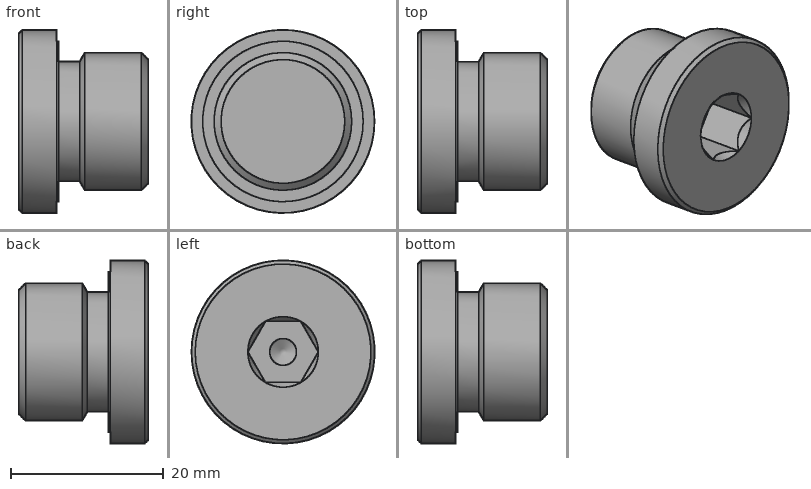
import cadquery as cq
import math

total_length = 17.0
flange_diameter = 24.0
flange_thickness = 5.0
flange_chamfer = 0.5
seat_diameter = 21.0
seat_height = 0.25
neck_diameter = 15.7
neck_end = 8.0
shank_diameter = 18.0
shank_lead_in_angle = 30.0
shank_chamfer = 0.9

socket_across_flats = 8.0
socket_depth = 7.5
socket_mouth_angle = 30.0
drill_point_diameter = 3.5
drill_point_half_angle = 59.0

socket_across_corners = socket_across_flats / math.cos(math.radians(30))


def cone_length(radial_drop, half_angle):
    return radial_drop / math.tan(math.radians(half_angle))


def make_body():
    """Flange, sealing seat, neck and chamfered shank as one revolved profile."""
    flange_radius = flange_diameter / 2
    seat_radius = seat_diameter / 2
    neck_radius = neck_diameter / 2
    shank_radius = shank_diameter / 2
    seat_end = flange_thickness + seat_height
    lead_in_length = (shank_radius - neck_radius) * math.tan(math.radians(shank_lead_in_angle))
    profile = [
        (0, 0),
        (0, flange_radius - flange_chamfer),
        (flange_chamfer, flange_radius),
        (flange_thickness, flange_radius),
        (flange_thickness, seat_radius),
        (seat_end, seat_radius),
        (seat_end, neck_radius),
        (neck_end, neck_radius),
        (neck_end + lead_in_length, shank_radius),
        (total_length - shank_chamfer, shank_radius),
        (total_length, shank_radius - shank_chamfer),
        (total_length, 0),
    ]
    return cq.Workplane("XY").polyline(profile).close().revolve(360, (0, 0, 0), (1, 0, 0))


def make_cone(start_x, diameter, half_angle):
    """Cone about the X axis with its base at start_x and its tip toward +X."""
    radius = diameter / 2
    tip_x = start_x + cone_length(radius, half_angle)
    profile = [(start_x, 0), (start_x, radius), (tip_x, 0)]
    return cq.Workplane("XY").polyline(profile).close().revolve(360, (0, 0, 0), (1, 0, 0))


def make_socket():
    """Hexagon with two corners on the Y axis, a conical mouth and a drill point."""
    hexagon = cq.Workplane("YZ").polygon(6, socket_across_corners).extrude(socket_depth)
    mouth = make_cone(0, socket_across_corners, socket_mouth_angle)
    drill_point = make_cone(socket_depth, drill_point_diameter, drill_point_half_angle)
    return hexagon.union(mouth).union(drill_point)


result = make_body().cut(make_socket())